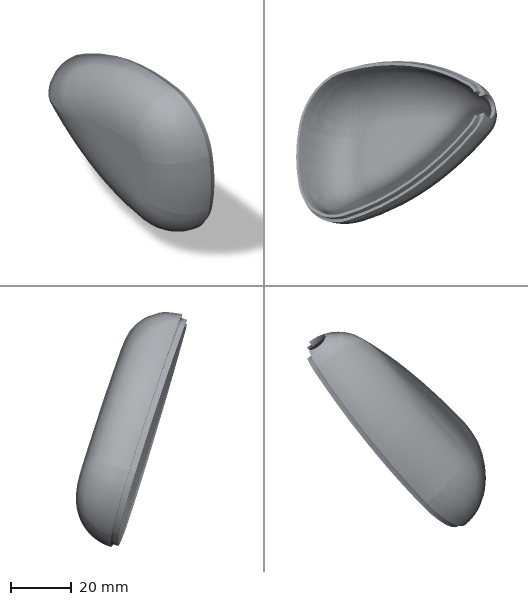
import cadquery as cq
import math


overall_height = 53.6
half_height = overall_height / 2
end_x = 80.4
widest_x = 59.15
side_radius = 93.25
corner_radius = 20.5
nose_radius = 10.8

dome_depth = 16.15
wall = 2.0
lip_height = 2.1
lip_inset = 1.05
cavity_straight = 1.85

hole_radius = 4.0
hole_drop = 2.5
lip_gap = 8.35
opening_length = 16.1
tip_clearance = 0.8

side_z = half_height - side_radius
nose_x = widest_x - math.sqrt((side_radius - nose_radius) ** 2 - side_z ** 2)
nose_angle = math.degrees(math.atan2(-side_z, widest_x - nose_x))
corner_z = half_height - corner_radius
end_reach = end_x - corner_radius - widest_x
end_offset = (corner_z ** 2 - end_reach ** 2) / (2 * end_reach)
end_radius = corner_radius + end_reach + end_offset
end_center_x = end_x - end_radius
end_angle = math.degrees(math.atan2(corner_z, widest_x - end_center_x))


def sector(center_x, center_z, radius, start, sweep, edge_radius, arc_y, top_y):
    """Revolve a round-edged disc profile about Y, from angle start (from +X towards +Z)."""
    arc_x = radius - edge_radius
    inner_x = max(arc_x, 0)
    inner_drop = math.sqrt(edge_radius ** 2 - (inner_x - arc_x) ** 2)
    middle_angle = math.atan2(inner_drop, inner_x - arc_x) / 2
    middle = (arc_x + edge_radius * math.cos(middle_angle), arc_y - edge_radius * math.sin(middle_angle))
    profile = cq.Workplane("XY").moveTo(0, top_y).lineTo(radius, top_y)
    if top_y > arc_y:
        profile = profile.lineTo(radius, arc_y)
    profile = profile.threePointArc(middle, (inner_x, arc_y - inner_drop))
    if inner_x > 0:
        profile = profile.lineTo(0, arc_y - inner_drop)
    wedge = profile.close().revolve(sweep, (0, 0, 0), (0, -1, 0))
    return wedge.rotate((0, 0, 0), (0, -1, 0), start).translate((center_x, 0, center_z))


def teardrop(inset, edge_radius, arc_y, top_y):
    """Round-bottomed teardrop whose outline is moved inwards by inset."""
    rounding = (edge_radius, arc_y, top_y)
    side = sector(widest_x, side_z, side_radius - inset, 90, 90 - nose_angle, *rounding)
    upper_half = cq.Workplane("XY").box(
        2 * end_x, 2 * end_x, end_x, centered=(True, True, False)
    )
    side = side.intersect(upper_half)
    corner = sector(
        widest_x, corner_z, corner_radius - inset, end_angle, 90 - end_angle, *rounding
    )
    nose = sector(nose_x, 0, nose_radius - inset, 180 - nose_angle, 2 * nose_angle, *rounding)
    end = sector(end_center_x, 0, end_radius - inset, -end_angle, 2 * end_angle, *rounding)
    body = nose.union(end)
    for piece in (side, corner):
        body = body.union(piece).union(piece.mirror("XY"))
    return body


dome = teardrop(0, dome_depth, 0, 0)
lip_blank = teardrop(lip_inset, dome_depth - lip_inset, 0, lip_height)
shell = dome.union(lip_blank)

cavity_radius = dome_depth - wall - cavity_straight
shell = shell.cut(teardrop(wall, cavity_radius, -cavity_straight, lip_height))

opening_start = nose_x - nose_radius - tip_clearance
hole = (
    cq.Workplane("YZ", origin=(opening_start, 0, 0))
    .center(-hole_drop, 0)
    .circle(hole_radius)
    .extrude(opening_length)
)

gap = cq.Workplane("XY").box(
    opening_length, lip_height, lip_gap, centered=(False, False, True)
).translate((opening_start, 0, 0))

result = shell.cut(hole).cut(gap)